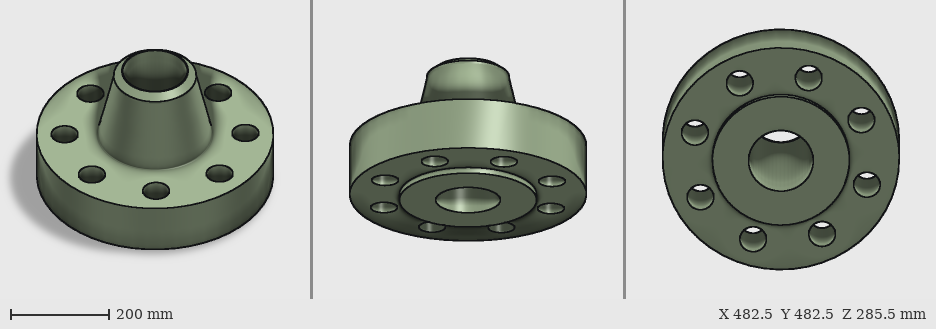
import cadquery as cq

DISC_DIAMETER = 482.5
DISC_THICKNESS = 108.0
FACE_DIAMETER = 279.5
FACE_HEIGHT = 12.5

TOTAL_HEIGHT = 285.5
HUB_BASE_DIAMETER = 235.0
HUB_BASE_FILLET = 4.0
NECK_DIAMETER = 168.5
NECK_LENGTH = 6.0
BEVEL_TOP_DIAMETER = 135.0
BEVEL_HEIGHT = 12.5
BORE_DIAMETER = 131.5

BOLT_COUNT = 8
BOLT_CIRCLE_DIAMETER = 368.0
BOLT_HOLE_DIAMETER = 54.0

FACE_Z = -FACE_HEIGHT
HUB_TOP_Z = TOTAL_HEIGHT - FACE_HEIGHT
NECK_TOP_Z = HUB_TOP_Z - BEVEL_HEIGHT
NECK_BASE_Z = NECK_TOP_Z - NECK_LENGTH


def make_body():
    """Turned solid: raised face, disc, tapered hub, neck and weld bevel."""
    half_profile = [
        (0, FACE_Z),
        (FACE_DIAMETER / 2, FACE_Z),
        (FACE_DIAMETER / 2, 0),
        (DISC_DIAMETER / 2, 0),
        (DISC_DIAMETER / 2, DISC_THICKNESS),
        (HUB_BASE_DIAMETER / 2, DISC_THICKNESS),
        (NECK_DIAMETER / 2, NECK_BASE_Z),
        (NECK_DIAMETER / 2, NECK_TOP_Z),
        (BEVEL_TOP_DIAMETER / 2, HUB_TOP_Z),
        (0, HUB_TOP_Z),
    ]
    return cq.Workplane("XZ").polyline(half_profile).close().revolve(360, (0, 0), (0, 1))


def round_hub_base(body):
    """Fillet the corner where the hub meets the disc."""
    reach = HUB_BASE_DIAMETER / 2 + HUB_BASE_FILLET
    half_band = HUB_BASE_FILLET / 2
    around_corner = cq.selectors.BoxSelector(
        (-reach, -reach, DISC_THICKNESS - half_band),
        (reach, reach, DISC_THICKNESS + half_band),
        boundingbox=True,
    )
    return body.edges(around_corner).fillet(HUB_BASE_FILLET)


def make_bore():
    """Through bore on the axis."""
    return cq.Workplane("XY").workplane(offset=FACE_Z).circle(BORE_DIAMETER / 2).extrude(TOTAL_HEIGHT)


def make_bolt_holes():
    """Ring of through holes in the disc."""
    return (
        cq.Workplane("XY")
        .polarArray(BOLT_CIRCLE_DIAMETER / 2, 0, 360, BOLT_COUNT)
        .circle(BOLT_HOLE_DIAMETER / 2)
        .extrude(DISC_THICKNESS)
    )


result = round_hub_base(make_body()).cut(make_bore()).cut(make_bolt_holes())